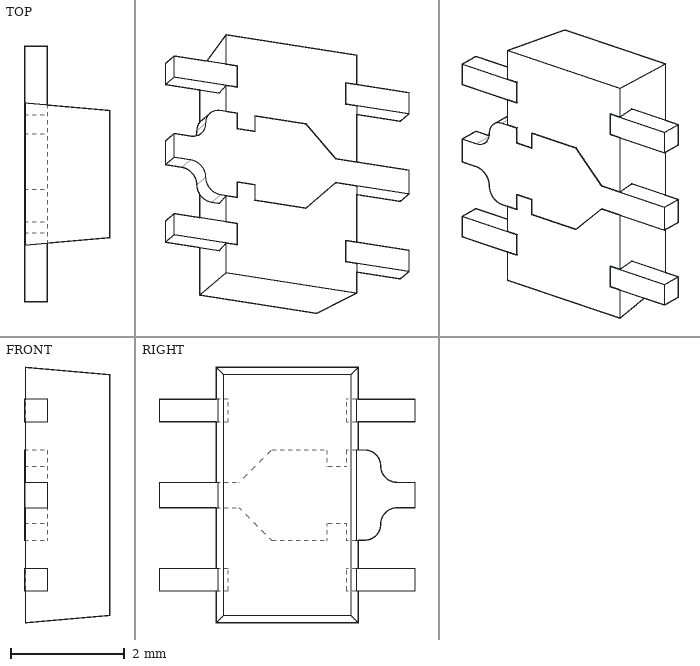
import cadquery as cq
import math

overall_thickness = 1.5
lead_span = 4.5
housing_length = 4.5
housing_width = 2.5
standoff = 0.015
draft_angle = 5.0

metal_thickness = 0.4
lead_height = 0.4
lead_length = 1.21
lead_offset = 1.49

pad_half_height = 0.795
tail_half_height = 0.225
lug_edge = 1.645
notch_width = 0.338
notch_depth = 0.292
taper_start = -0.275

span_end = lead_span / 2
lead_inner_end = span_end - lead_length
notch_outer = lead_inner_end
notch_inner = notch_outer - notch_width
shoulder_height = pad_half_height - tail_half_height
taper_end = taper_start - shoulder_height
arc_radius = shoulder_height / 2


def make_lead(side, level):
    """One corner lead, on the +Y or -Y side, above or below the middle."""
    center_y = side * (span_end - lead_length / 2)
    center_z = level * lead_offset
    return (
        cq.Workplane("YZ")
        .center(center_y, center_z)
        .rect(lead_length, lead_height)
        .extrude(metal_thickness)
    )


def make_pad():
    """Central heat pad with tails at both ends, a rounded lug and two notches."""
    arc_middle = arc_radius * math.sqrt(0.5)
    lower_center = (lug_edge + arc_radius, tail_half_height + arc_radius)
    upper_center = (lug_edge - arc_radius, pad_half_height - arc_radius)
    upper_half = (
        cq.Workplane("YZ")
        .moveTo(span_end, 0)
        .lineTo(span_end, tail_half_height)
        .lineTo(lower_center[0], tail_half_height)
        .threePointArc(
            (lower_center[0] - arc_middle, lower_center[1] - arc_middle),
            (lug_edge, lower_center[1]),
        )
        .threePointArc(
            (upper_center[0] + arc_middle, upper_center[1] + arc_middle),
            (upper_center[0], pad_half_height),
        )
        .lineTo(notch_outer, pad_half_height)
        .lineTo(notch_outer, pad_half_height - notch_depth)
        .lineTo(notch_inner, pad_half_height - notch_depth)
        .lineTo(notch_inner, pad_half_height)
        .lineTo(taper_start, pad_half_height)
        .lineTo(taper_end, tail_half_height)
        .lineTo(-span_end, tail_half_height)
        .lineTo(-span_end, 0)
        .close()
        .extrude(metal_thickness)
    )
    return upper_half.union(upper_half.mirror("XY")).clean()


def make_housing(metal_bodies):
    """Drafted block with a matching recess for every metal body."""
    block = (
        cq.Workplane("YZ", origin=(standoff, 0, 0))
        .rect(housing_width, housing_length)
        .extrude(overall_thickness - standoff, taper=draft_angle)
    )
    for body in metal_bodies:
        block = block.cut(body)
    return block


pad = make_pad()
leads = [make_lead(side, level) for side in (-1, 1) for level in (-1, 1)]
housing = make_housing([pad, *leads])

result = cq.Compound.makeCompound([housing.val(), pad.val(), *[lead.val() for lead in leads]])